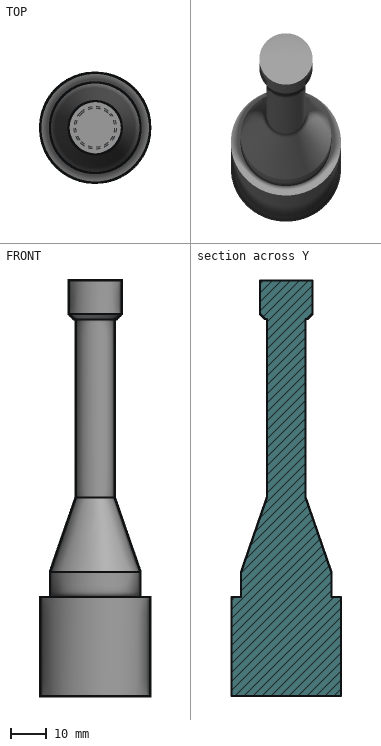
import cadquery as cq

total_height = 117.0
base_diameter = 31.0
shoulder_diameter = 25.5
shank_diameter = 11.0
head_diameter = 15.0

base_top = 28.0
shoulder_top = 35.0
cone_top = 55.9
head_bottom = 106.0

bevel_size = 1.5
bevel_top = head_bottom + bevel_size


def turned_profile():
    """Half section of the part as (radius, height) points."""
    base_radius = base_diameter / 2
    shoulder_radius = shoulder_diameter / 2
    shank_radius = shank_diameter / 2
    head_radius = head_diameter / 2
    return [
        (0, 0),
        (base_radius, 0),
        (base_radius, base_top),
        (shoulder_radius, base_top),
        (shoulder_radius, shoulder_top),
        (shank_radius, cone_top),
        (shank_radius, head_bottom),
        (head_radius - bevel_size, head_bottom),
        (head_radius, bevel_top),
        (head_radius, total_height),
        (0, total_height),
    ]


result = cq.Workplane("XZ").polyline(turned_profile()).close().revolve(360, (0, 0, 0), (0, 1, 0))